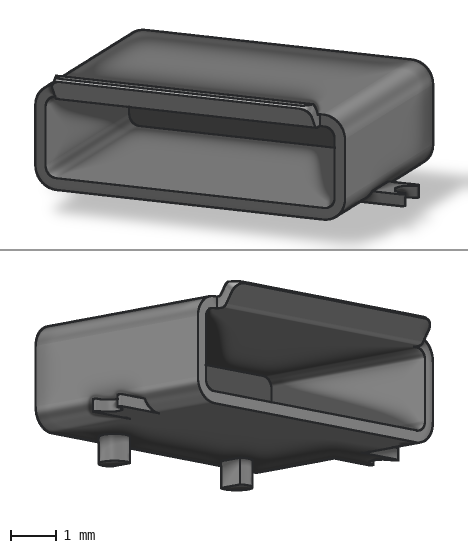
import math

import cadquery as cq


shell_width = 7.4
shell_length = 5.0
shell_height = 2.4
wall = 0.27
side_wall = 0.25
outer_radius = 0.52
inner_radius = outer_radius - wall

lip_width = 6.2
lip_reach = 0.6
lip_rise = 0.3
lip_fold = 0.095
lip_angle = math.radians(55)
bend_inner_radius = 0.08
bend_outer_radius = 0.17
lip_corner_radius = 0.25

tab_span = 8.78
tab_width = 0.9
tab_centre_y = 2.15
notch_radius = 0.31
prong_radius = (tab_width / 2 - notch_radius) / 2
prong_centre_x = tab_span / 2 - prong_radius

pin_diameter = 0.7
pin_width = 0.54
pin_height = 0.6
pin_outer_x = 2.27
pin_centre_y = 4.305


def rounded_bar(width, height, radius, length):
    """Bar along +Y from the front face, with rounded long edges, centred on X and Z = 0."""
    bar = cq.Workplane("XY").box(width, length, height, centered=(True, False, True))
    return bar.edges("|Y").fillet(radius)


def make_shell():
    outside = rounded_bar(shell_width, shell_height, outer_radius, shell_length)
    cavity = rounded_bar(
        shell_width - 2 * side_wall, shell_height - 2 * wall, inner_radius, shell_length - wall
    )
    return outside.cut(cavity).translate((0, 0, shell_height / 2))


def make_lip():
    """Bent tongue with rounded bends and corners, trimmed level at its top."""
    run = math.cos(lip_angle)
    rise = math.sin(lip_angle)
    under_z = shell_height - wall
    upper_fold_y = -lip_fold
    under_fold_y = upper_fold_y - wall * math.tan(lip_angle / 2)
    leaf_length = (lip_reach + under_fold_y) / run
    under_tip = (-lip_reach, under_z + leaf_length * rise)
    upper_tip = (under_tip[0] + wall * rise, under_tip[1] + wall * run)

    lip = (
        cq.Workplane("YZ")
        .moveTo(wall, shell_height)
        .lineTo(upper_fold_y, shell_height)
        .lineTo(*upper_tip)
        .lineTo(*under_tip)
        .lineTo(under_fold_y, under_z)
        .lineTo(wall, under_z)
        .close()
        .extrude(lip_width / 2, both=True)
    )
    upper_fold = cq.selectors.NearestToPointSelector((0, upper_fold_y, shell_height))
    under_fold = cq.selectors.NearestToPointSelector((0, under_fold_y, under_z))
    lip = lip.edges(upper_fold).fillet(bend_inner_radius)
    lip = lip.edges(under_fold).fillet(bend_outer_radius)

    leaf_direction = cq.Vector(0, -run, rise)
    across_sheet = cq.Vector(0, rise, run)
    lip = (
        lip.faces(cq.selectors.DirectionMinMaxSelector(leaf_direction))
        .edges(cq.selectors.ParallelDirSelector(across_sheet))
        .fillet(lip_corner_radius)
    )
    trim = cq.Workplane("XY", origin=(0, 0, shell_height + lip_rise)).box(
        shell_width, 2 * shell_length, shell_height, centered=(True, True, False)
    )
    return lip.cut(trim)


def make_tab():
    """Tab on the +X side: two round-ended prongs either side of a half-round notch."""
    half_width = tab_width / 2
    root_x = shell_width / 2 - outer_radius
    tip_x = tab_span / 2
    prong_y = half_width - prong_radius
    return (
        cq.Workplane("XY", origin=(0, tab_centre_y, 0))
        .moveTo(root_x, -half_width)
        .lineTo(prong_centre_x, -half_width)
        .threePointArc((tip_x, -prong_y), (prong_centre_x, -notch_radius))
        .threePointArc((prong_centre_x - notch_radius, 0), (prong_centre_x, notch_radius))
        .threePointArc((tip_x, prong_y), (prong_centre_x, half_width))
        .lineTo(root_x, half_width)
        .close()
        .extrude(wall)
    )


def make_pin():
    """Pin on the +X side, rooted in the bottom wall."""
    pin_radius = pin_diameter / 2
    post = (
        cq.Workplane("XY", origin=(pin_outer_x - pin_radius, pin_centre_y, -pin_height))
        .circle(pin_radius)
        .extrude(pin_height + wall / 2)
    )
    keep = cq.Workplane("XY").box(pin_width, pin_diameter, 2 * shell_height)
    return post.intersect(keep.translate((pin_outer_x - pin_width / 2, pin_centre_y, 0)))


result = make_shell().union(make_lip())
for side_part in (make_tab(), make_pin()):
    result = result.union(side_part).union(side_part.mirror("YZ"))